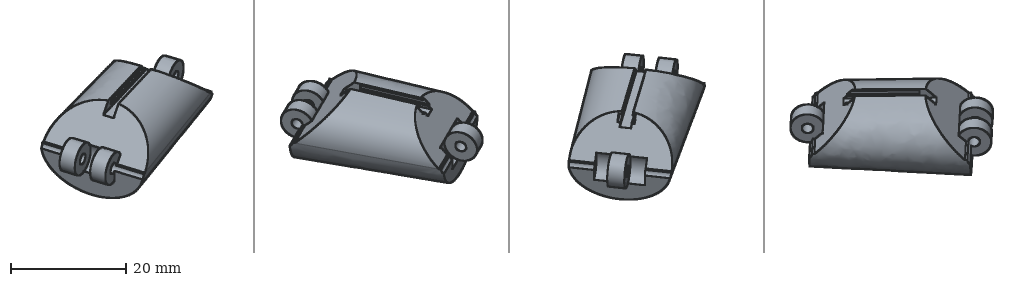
import cadquery as cq

body_length = 28.0
front_half_width = 9.98
front_half_height = 7.5
end_shrink = 0.95
ramp_start = 13.1

total_length = 35.0
knuckle_radius = 2.992
pin_radius = 1.0
pin_offset = total_length / 2 - knuckle_radius
knuckle_inner = 1.5
knuckle_outer = 4.48

slot_width = 2.0
slot_floor = 5.05
groove_width = 2 * knuckle_inner
groove_bottom = 5.6
groove_top = 6.6
groove_front = -4.83

clearance = 3.5
half_length = body_length / 2
taper_slope = end_shrink / body_length


def make_body():
    """Ruled elliptical taper with both ends ramped above the centre plane."""
    taper = (
        cq.Workplane("XZ", origin=(0, -half_length, 0))
        .ellipse(front_half_width, front_half_height)
        .workplane(offset=-body_length)
        .ellipse(front_half_width - end_shrink, front_half_height - end_shrink)
        .loft(ruled=True, combine=True)
    )
    top = front_half_height + clearance
    width = front_half_width + clearance
    for side in (-1, 1):
        ramp = (
            cq.Workplane("YZ")
            .moveTo(side * ramp_start, 0)
            .lineTo(side * (half_length + clearance), 0)
            .lineTo(side * (half_length + clearance), top)
            .lineTo(side * (ramp_start - top), top)
            .close()
            .extrude(width, both=True)
        )
        taper = taper.cut(ramp)
    return taper


def barrel(side, radius, x_start, x_end):
    """Cylinder on the hinge axis at the front (-1) or rear (+1) end."""
    return (
        cq.Workplane("YZ", origin=(x_start, side * pin_offset, 0))
        .circle(radius)
        .extrude(x_end - x_start)
    )


def sloped_channel(width, bottom, top, y_front, y_rear):
    """Channel whose floor and roof follow the body taper; heights apply at y = 0."""
    return (
        cq.Workplane("YZ")
        .moveTo(y_front, bottom - taper_slope * y_front)
        .lineTo(y_rear, bottom - taper_slope * y_rear)
        .lineTo(y_rear, top - taper_slope * y_rear)
        .lineTo(y_front, top - taper_slope * y_front)
        .close()
        .extrude(width / 2, both=True)
    )


middle_spans = [(-knuckle_inner, knuckle_inner)]
outer_spans = [(-knuckle_outer, -knuckle_inner), (knuckle_inner, knuckle_outer)]

result = make_body()
for side, knuckles, pockets in ((-1, outer_spans, middle_spans), (1, middle_spans, outer_spans)):
    for x_start, x_end in pockets:
        result = result.cut(barrel(side, knuckle_radius, x_start, x_end))
    for x_start, x_end in knuckles:
        result = result.union(barrel(side, knuckle_radius, x_start, x_end))
    result = result.cut(barrel(side, pin_radius, -front_half_width, front_half_width))

slot_top = front_half_height + clearance
result = result.cut(sloped_channel(slot_width, slot_floor, slot_top, -half_length, half_length))
result = result.cut(sloped_channel(groove_width, groove_bottom, groove_top, groove_front, half_length))